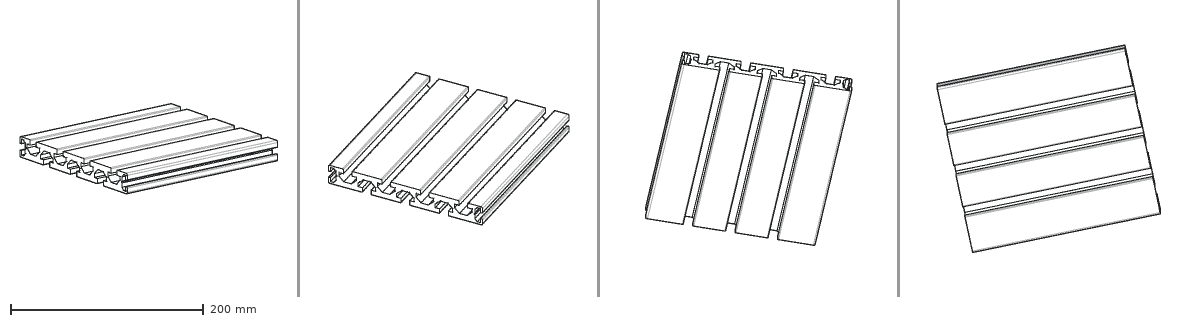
import cadquery as cq

WIDTH = 180.0
LENGTH = 200.0
HEIGHT = 22.5
CORNER_RADIUS = 2.0
MOUTH_RADIUS = 1.0

SLOT_PITCH = WIDTH / 4
MOUTH_WIDTH = 10.0
CAVITY_WIDTH = 20.5
FLOOR_WIDTH = 8.8
LIP_THICKNESS = 5.8
SLOPE_START_DEPTH = 10.0
SLOT_DEPTH = 15.5

SIDE_MOUTH_WIDTH = 7.2
SIDE_WALL = 2.5
SIDE_CAVITY_WIDTH = 17.2
SIDE_SHOULDER_DEPTH = 6.2
SIDE_FLOOR_WIDTH = 11.2
SIDE_DEPTH = 9.0
NOTCH_WIDTH = 2.0
NOTCH_DEPTH = 1.0

TOP_SLOT_CENTERS = [SLOT_PITCH * k for k in (-1.5, -0.5, 0.5, 1.5)]
BOTTOM_SLOT_CENTERS = [SLOT_PITCH * k for k in (-1, 0, 1)]
TOLERANCE = 0.02


def symmetric_prism(half_profile):
    """Extrude a slot section, given as (half width, depth) from mouth to floor, opening at Z = 0."""
    right = [(half_width, -depth) for half_width, depth in half_profile]
    left = [(-x, z) for x, z in reversed(right) if x > 0]
    section = cq.Workplane("XZ").polyline(right + left).close()
    return section.extrude(LENGTH / 2, both=True)


def broad_slot():
    return symmetric_prism([
        (MOUTH_WIDTH / 2, 0),
        (MOUTH_WIDTH / 2, LIP_THICKNESS),
        (CAVITY_WIDTH / 2, LIP_THICKNESS),
        (CAVITY_WIDTH / 2, SLOPE_START_DEPTH),
        (FLOOR_WIDTH / 2, SLOT_DEPTH),
    ])


def side_slot():
    return symmetric_prism([
        (SIDE_MOUTH_WIDTH / 2, 0),
        (SIDE_MOUTH_WIDTH / 2, SIDE_WALL),
        (SIDE_CAVITY_WIDTH / 2, SIDE_WALL),
        (SIDE_CAVITY_WIDTH / 2, SIDE_SHOULDER_DEPTH),
        (SIDE_FLOOR_WIDTH / 2, SIDE_DEPTH),
        (NOTCH_WIDTH / 2, SIDE_DEPTH),
        (0, SIDE_DEPTH + NOTCH_DEPTH),
    ])


def turned(slot, angle):
    """Turn a slot about the Y axis so that it opens in another direction."""
    return slot.rotate((0, 0, 0), (0, 1, 0), angle)


def on_broad_face(edge):
    return abs(abs(edge.Center().z) - HEIGHT / 2) < TOLERANCE


def on_side(edge):
    return abs(abs(edge.Center().x) - WIDTH / 2) < TOLERANCE


def is_mouth(edge):
    return on_broad_face(edge) != on_side(edge)


def is_corner(edge):
    return on_broad_face(edge) and on_side(edge)


result = cq.Workplane("XY").box(WIDTH, LENGTH, HEIGHT)

for x in TOP_SLOT_CENTERS:
    result = result.cut(broad_slot().translate((x, 0, HEIGHT / 2)))
for x in BOTTOM_SLOT_CENTERS:
    result = result.cut(turned(broad_slot(), 180).translate((x, 0, -HEIGHT / 2)))
for side in (-1, 1):
    result = result.cut(turned(side_slot(), 90 * side).translate((side * WIDTH / 2, 0, 0)))

result = result.edges("|Y").filter(is_mouth).fillet(MOUTH_RADIUS)
result = result.edges("|Y").filter(is_corner).fillet(CORNER_RADIUS)